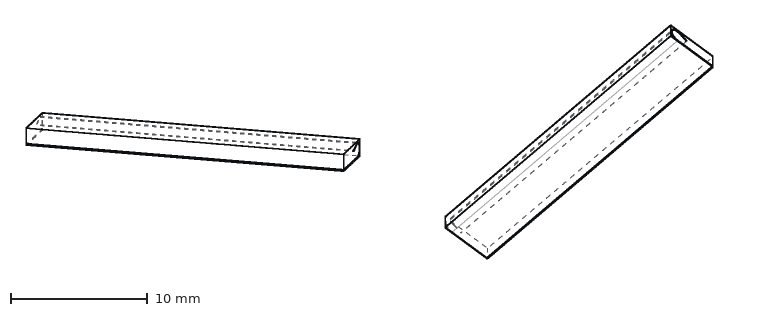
import cadquery as cq
import math

length_along_x = 24.3
block_width = 4.23
block_height = 1.3
turn_angle = 1.42
turn = math.radians(turn_angle)
block_length = (length_along_x - block_width * math.sin(turn)) / math.cos(turn)

strip_thickness = 0.07
bottom_skin = 0.02
side_skin = 0.07
loop_radius = 0.58
inner_radius = loop_radius - strip_thickness
flat_end_y = side_skin - block_width / 2
loop_y = block_width / 2 - side_skin - loop_radius
loop_z = bottom_skin + loop_radius
lip_angle = 22.0
lip_length = 0.78
lip = math.radians(lip_angle)
lip_start = math.pi / 2 + lip


def loop_point(radius, angle):
    """Point (y, z) on a circle about the loop axis; angle from +Y towards +Z."""
    return (loop_y + radius * math.cos(angle), loop_z + radius * math.sin(angle))


def lip_end(radius):
    """Point (y, z) at the free end of the lip, which leaves the circle tangentially."""
    y, z = loop_point(radius, lip_start)
    return (y - lip_length * math.cos(lip), z - lip_length * math.sin(lip))


def make_strip():
    """Flat base near the bottom face, rolled up at +Y and ending in a sloping lip."""
    profile = (
        cq.Workplane("YZ", origin=(-block_length / 2, 0, 0))
        .moveTo(flat_end_y, bottom_skin)
        .lineTo(loop_y, bottom_skin)
        .radiusArc(loop_point(loop_radius, 0), -loop_radius)
        .radiusArc(loop_point(loop_radius, lip_start), -loop_radius)
        .lineTo(*lip_end(loop_radius))
        .lineTo(*lip_end(inner_radius))
        .lineTo(*loop_point(inner_radius, lip_start))
        .radiusArc(loop_point(inner_radius, 0), inner_radius)
        .radiusArc((loop_y, bottom_skin + strip_thickness), inner_radius)
        .lineTo(flat_end_y, bottom_skin + strip_thickness)
        .close()
    )
    return profile.extrude(block_length)


def make_block(strip):
    """Plain block with the space of the strip taken out."""
    block = cq.Workplane("XY").box(
        block_length, block_width, block_height, centered=(True, True, False)
    )
    return block.cut(strip)


def turned(body):
    return body.rotate((0, 0, 0), (0, 0, 1), turn_angle)


strip = make_strip()
block = make_block(strip)

result = cq.Compound.makeCompound([turned(block).val(), turned(strip).val()])